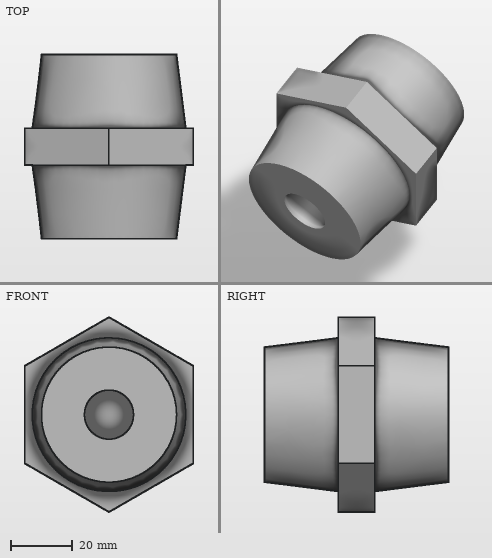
import cadquery as cq

length = 60.0
hex_corners = 63.5
hex_thickness = 12.0
root_diameter = 50.05
end_diameter = 44.0
bore_diameter = 16.0
bore_depth = 20.0

half_length = length / 2
half_hex = hex_thickness / 2


def tapered_half(side):
    """Solid cone frustum from one hexagon face out to the end of the part."""
    profile = [
        (0, side * half_hex),
        (root_diameter / 2, side * half_hex),
        (end_diameter / 2, side * half_length),
        (0, side * half_length),
    ]
    return cq.Workplane("XY").polyline(profile).close().revolve(360, (0, 0), (0, 1))


def blind_bore(side):
    """Cylinder running from one end face towards the middle."""
    bore = cq.Workplane("XZ", origin=(0, side * half_length, 0)).circle(bore_diameter / 2)
    return bore.extrude(side * bore_depth)


hexagon = (
    cq.Workplane("XZ")
    .polygon(6, hex_corners)
    .extrude(half_hex, both=True)
    .rotate((0, 0, 0), (0, 1, 0), 90)
)

result = hexagon
for side in (-1, 1):
    result = result.union(tapered_half(side))
for side in (-1, 1):
    result = result.cut(blind_bore(side))